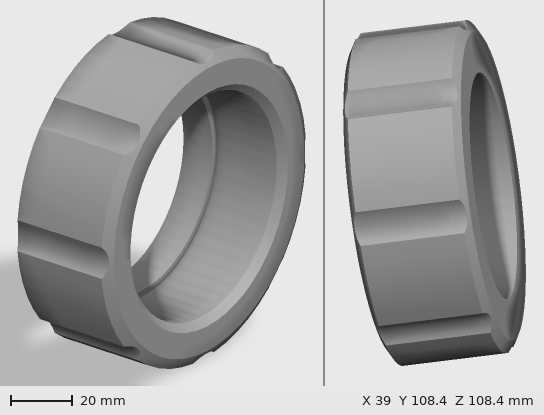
import cadquery as cq
import math

width = 39.0
grip_span = 108.4
face_diameter = 101.3
chamfer_length = 2.3

groove_count = 8
groove_width = 11.2
groove_radius = 8.3

bore_diameter = 74.2
counterbore_diameter = 78.5
bore_length = 11.9
exit_chamfer = 2.6

rim_radius = math.hypot(grip_span / 2, groove_width / 2)
groove_center_radius = grip_span / 2 + math.sqrt(groove_radius**2 - (groove_width / 2) ** 2)


def make_body():
    """Solid disc with a conical chamfer at both ends, centered on the origin."""
    chamfer_height = rim_radius - face_diameter / 2
    disc = cq.Workplane("YZ").circle(rim_radius).extrude(width / 2, both=True)
    return disc.faces("<X or >X").chamfer(chamfer_length, chamfer_height)


def cut_grooves(body):
    """Cut round grooves along the whole rim, starting on the +Y side."""
    cutters = (
        cq.Workplane("YZ")
        .polarArray(groove_center_radius, 0, 360, groove_count)
        .circle(groove_radius)
        .extrude(width / 2, both=True)
    )
    return body.cut(cutters)


def cut_bore(body):
    """Cut the through bore and the wider counterbore, chamfered where it opens at the +X face."""
    bore = cq.Workplane("YZ").circle(bore_diameter / 2).extrude(width / 2, both=True)
    counterbore = (
        cq.Workplane("YZ", origin=(bore_length - width / 2, 0, 0))
        .circle(counterbore_diameter / 2)
        .extrude(width - bore_length)
    )
    exit_cone = (
        cq.Workplane("YZ", origin=(width / 2, 0, 0))
        .circle(counterbore_diameter / 2 + exit_chamfer)
        .extrude(-exit_chamfer, taper=45)
    )
    return body.cut(bore).cut(counterbore).cut(exit_cone)


result = cut_bore(cut_grooves(make_body()))